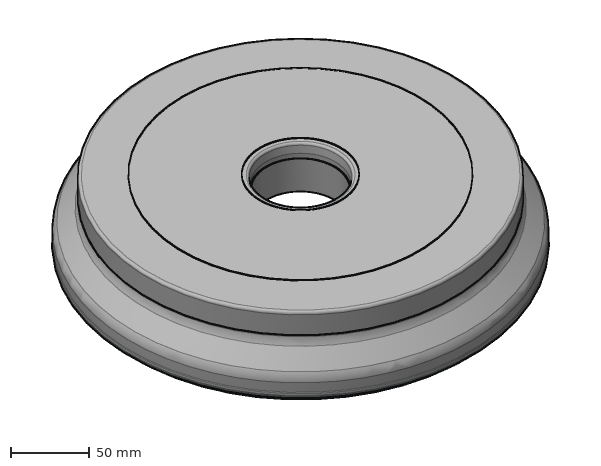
import cadquery as cq

WHEEL_RADIUS = 158.8
WHEEL_HEIGHT = 63.5
CONE_FOOT_Z = 22.2

PAD_RADIUS = 110.0
PAD_HEIGHT = 0.5
SHOULDER_Z = WHEEL_HEIGHT - PAD_HEIGHT

TREAD_RADIUS = 142.3
TREAD_BOTTOM_Z = 44.0
TREAD_EDGE_ROUND = 2.2
NECK_RADIUS = 141.7
NECK_TOP_Z = 43.2
NECK_ROUND = 8.3

FLANGE_RADIUS = 158.5
FLANGE_ROUND = 9.5
BOTTOM_CHAMFER = 5.7
BEAD_MIDDLE_Z = 8.5
BEAD_HALF_WIDTH = 2.0
BEAD_CROWN_HALF_WIDTH = 1.0
BEAD_FLANK_RADIUS = (FLANGE_RADIUS + WHEEL_RADIUS) / 2

RECESS_RADIUS = PAD_RADIUS
RECESS_DEPTH = 24.5

BORE_RADIUS = 31.5
RING_OUTER_RADIUS = 37.5
RING_INNER_RADIUS = 32.0
RING_MOUTH_RADIUS = 33.0
RING_EDGE_ROUND = 2.0
RING_TOP_Z = SHOULDER_Z
RING_HEIGHT = 11.8
RING_TAPER_END_DEPTH = 7.5
SEAT_Z = RING_TOP_Z - RING_HEIGHT

SELECT_MARGIN = 0.15


def revolve_about_z(profile):
    """Revolve a closed (radius, height) outline about the Z axis."""
    return profile.close().revolve(360, (0, 0, 0), (0, 1, 0))


def circle_edge(radius, z):
    """Selector for the circular edge of this radius at this height."""
    reach = radius + SELECT_MARGIN
    return cq.selectors.BoxSelector(
        (-reach, -reach, z - SELECT_MARGIN),
        (reach, reach, z + SELECT_MARGIN),
        boundingbox=True,
    )


def make_wheel():
    """Turned wheel with tread, cone, beaded flange, underside recess and stepped bore."""
    neck_foot_z = CONE_FOOT_Z + FLANGE_RADIUS - NECK_RADIUS
    profile = (
        cq.Workplane("XZ")
        .moveTo(BORE_RADIUS, RECESS_DEPTH)
        .lineTo(RECESS_RADIUS, RECESS_DEPTH)
        .lineTo(RECESS_RADIUS, 0)
        .lineTo(FLANGE_RADIUS - BOTTOM_CHAMFER, 0)
        .lineTo(FLANGE_RADIUS, BOTTOM_CHAMFER)
        .lineTo(FLANGE_RADIUS, BEAD_MIDDLE_Z - BEAD_HALF_WIDTH)
        .lineTo(BEAD_FLANK_RADIUS, BEAD_MIDDLE_Z - BEAD_CROWN_HALF_WIDTH)
        .threePointArc(
            (WHEEL_RADIUS, BEAD_MIDDLE_Z),
            (BEAD_FLANK_RADIUS, BEAD_MIDDLE_Z + BEAD_CROWN_HALF_WIDTH),
        )
        .lineTo(FLANGE_RADIUS, BEAD_MIDDLE_Z + BEAD_HALF_WIDTH)
        .lineTo(FLANGE_RADIUS, CONE_FOOT_Z)
        .lineTo(NECK_RADIUS, neck_foot_z)
        .lineTo(NECK_RADIUS, NECK_TOP_Z)
        .lineTo(TREAD_RADIUS, TREAD_BOTTOM_Z)
        .lineTo(TREAD_RADIUS, SHOULDER_Z)
        .lineTo(PAD_RADIUS, SHOULDER_Z)
        .lineTo(PAD_RADIUS, WHEEL_HEIGHT)
        .lineTo(RING_OUTER_RADIUS, WHEEL_HEIGHT)
        .lineTo(RING_OUTER_RADIUS, SEAT_Z)
        .lineTo(BORE_RADIUS, SEAT_Z)
    )
    body = revolve_about_z(profile)
    body = body.edges(circle_edge(NECK_RADIUS, neck_foot_z)).fillet(NECK_ROUND)
    body = body.edges(circle_edge(FLANGE_RADIUS, CONE_FOOT_Z)).fillet(FLANGE_ROUND)
    shoulder_edges = body.edges(circle_edge(TREAD_RADIUS, SHOULDER_Z))
    return shoulder_edges.edges(cq.selectors.RadiusNthSelector(-1)).fillet(TREAD_EDGE_ROUND)


def make_ring():
    """Seated ring with a rounded, tapered mouth above a straight bore."""
    mouth_edge = (RING_MOUTH_RADIUS, RING_TOP_Z)
    profile = (
        cq.Workplane("XZ")
        .moveTo(RING_OUTER_RADIUS, SEAT_Z)
        .lineTo(RING_OUTER_RADIUS, RING_TOP_Z)
        .lineTo(*mouth_edge)
        .lineTo(RING_INNER_RADIUS, RING_TOP_Z - RING_TAPER_END_DEPTH)
        .lineTo(RING_INNER_RADIUS, SEAT_Z)
    )
    body = revolve_about_z(profile)
    return body.edges(circle_edge(*mouth_edge)).fillet(RING_EDGE_ROUND)


wheel = make_wheel()
ring = make_ring()
result = cq.Compound.makeCompound([wheel.val(), ring.val()])